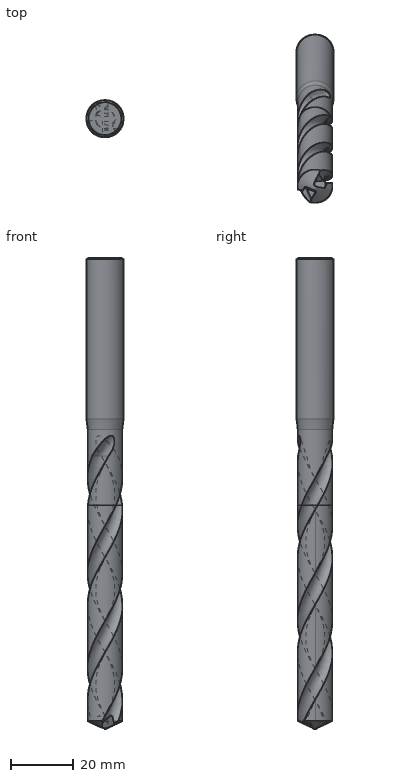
import cadquery as cq
import math

TOTAL_LENGTH = 151
POINT_HEIGHT = 2.7
JOINT_Z = 71.7
FLUTE_END_Z = 87.6
RUNOUT_TOP_Z = 94.0
NECK_BOTTOM_Z = 96.2
SHANK_BOTTOM_Z = 99.5

SHANK_RADIUS = 6.0
DRILL_RADIUS = 5.6
TOP_CHAMFER_HEIGHT = 0.5
TOP_CHAMFER_WIDTH = 0.8

FLUTE_COUNT = 2
FLUTE_RADIUS = 3.0
FLUTE_OFFSET = 6.0
FLUTE_LEAD = 60.9
FLUTE_ZERO_Z = 14.5

GASH_LEFT_X = -0.9
GASH_RIGHT_X = 2.9
GASH_PEAK_X = 2.3
GASH_PEAK_Z = 4.8
GASH_SHOULDER_Z = 2.1
GASH_FLOOR_TOP_Y = -2.5
GASH_FLOOR_BOTTOM_Y = -0.6


def flute_angle(z, index):
    """Direction of a flute, in degrees from +X, at height z."""
    return 360 * ((z - FLUTE_ZERO_Z) / FLUTE_LEAD + index / FLUTE_COUNT)


def flute_center(z, index, offset=FLUTE_OFFSET):
    angle = math.radians(flute_angle(z, index))
    return (offset * math.cos(angle), offset * math.sin(angle))


def helical_cutter(index, z_start, z_end):
    """Flute cutter twisted around the drill axis between two heights."""
    length = z_end - z_start
    return (
        cq.Workplane("XY", origin=(0, 0, z_start))
        .moveTo(*flute_center(z_start, index))
        .circle(FLUTE_RADIUS)
        .twistExtrude(length, 360 * length / FLUTE_LEAD)
    )


def runout_cutter(index):
    """Slanted cutter that leaves the drill surface at the top of a flute."""
    exit_offset = DRILL_RADIUS + FLUTE_RADIUS
    rise = RUNOUT_TOP_Z - FLUTE_END_Z
    start = flute_center(FLUTE_END_Z, index)
    end = flute_center(RUNOUT_TOP_Z, index, exit_offset)
    return (
        cq.Workplane("XY", origin=(0, 0, FLUTE_END_Z))
        .moveTo(*start)
        .circle(FLUTE_RADIUS)
        .workplane(offset=rise)
        .moveTo(*end)
        .circle(FLUTE_RADIUS)
        .loft(ruled=True)
    )


def revolved(profile):
    """Round body from (radius, z) points, turned about the Z axis."""
    return cq.Workplane("XZ").polyline(profile).close().revolve(360, (0, 0), (0, 1))


def gash_cutter(index):
    """Peaked notch, limited at the back by its sloping floor."""
    outline = (
        cq.Workplane("XZ")
        .polyline([
            (GASH_LEFT_X, 0),
            (GASH_LEFT_X, GASH_SHOULDER_Z),
            (GASH_PEAK_X, GASH_PEAK_Z),
            (GASH_RIGHT_X, GASH_SHOULDER_Z),
            (GASH_RIGHT_X, 0),
        ])
        .close()
        .extrude(DRILL_RADIUS)
    )
    floor_side = (
        cq.Workplane("YZ", origin=(GASH_LEFT_X, 0, 0))
        .polyline([
            (GASH_FLOOR_BOTTOM_Y, 0),
            (GASH_FLOOR_TOP_Y, GASH_PEAK_Z),
            (-DRILL_RADIUS, GASH_PEAK_Z),
            (-DRILL_RADIUS, 0),
        ])
        .close()
        .extrude(GASH_RIGHT_X - GASH_LEFT_X)
    )
    notch = outline.intersect(floor_side)
    return notch.rotate((0, 0, 0), (0, 0, 1), 360 * index / FLUTE_COUNT)


def make_cutting_body():
    """Lower fluted length with the conical point."""
    body = revolved([
        (0, 0),
        (DRILL_RADIUS, POINT_HEIGHT),
        (DRILL_RADIUS, JOINT_Z),
        (0, JOINT_Z),
    ])
    for index in range(FLUTE_COUNT):
        body = body.cut(helical_cutter(index, 0, JOINT_Z))
        body = body.cut(gash_cutter(index))
    return body


def make_shank_body():
    """Chamfered shank, tapered neck and the upper end of the flutes."""
    body = revolved([
        (0, JOINT_Z),
        (DRILL_RADIUS, JOINT_Z),
        (DRILL_RADIUS, NECK_BOTTOM_Z),
        (SHANK_RADIUS, SHANK_BOTTOM_Z),
        (SHANK_RADIUS, TOTAL_LENGTH - TOP_CHAMFER_HEIGHT),
        (SHANK_RADIUS - TOP_CHAMFER_WIDTH, TOTAL_LENGTH),
        (0, TOTAL_LENGTH),
    ])
    for index in range(FLUTE_COUNT):
        body = body.cut(helical_cutter(index, JOINT_Z, FLUTE_END_Z))
        body = body.cut(runout_cutter(index))
    return body


cutting_body = make_cutting_body()
shank_body = make_shank_body()
result = cq.Compound.makeCompound([cutting_body.val(), shank_body.val()])